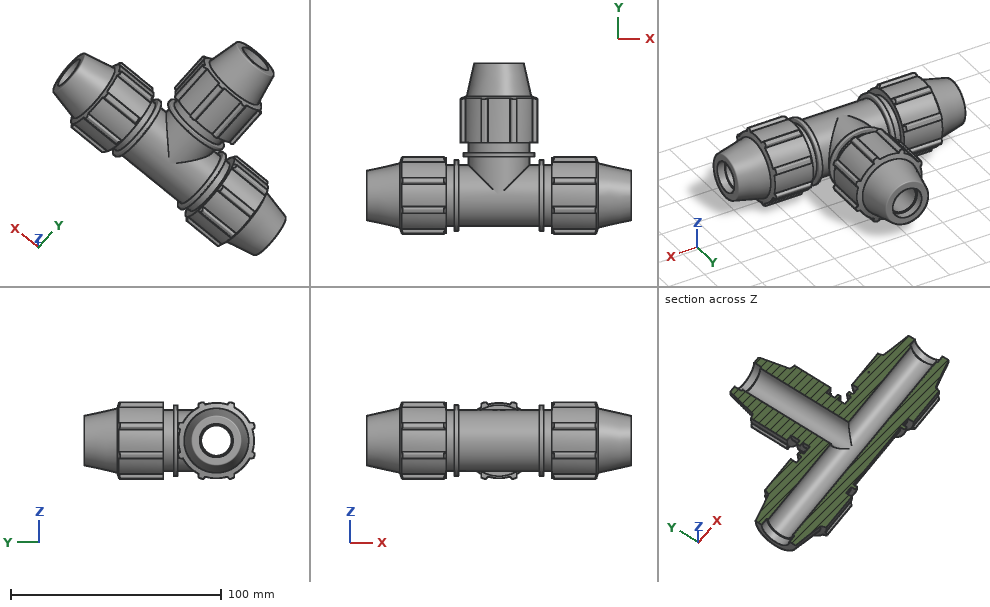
import cadquery as cq
HALF_RUN = 63.0
PIPE_DIAMETER = 29.2
FLANGE_DIAMETER = 33.9
FLANGE_THICKNESS = 2.0
FLANGE_ROUNDING = 0.4
RUN_FLANGE_START = 19.3
BRANCH_FLANGE_START = 18.4

BORE_DIAMETER = 14.4
MOUTH_DIAMETER = 16.0
MOUTH_DEPTH = 4.2

GRIP_START = 25.2
NOSE_LENGTH = 15.8
NOSE_END_RADIUS = 11.8
NOSE_BASE_RADIUS = 15.4
NOSE_ROUNDING = 0.6
GRIP_RADIUS = 18.0
SHOULDER_LENGTH = 1.4

RIB_COUNT = 8
RIB_TOP_RADIUS = 19.5
RIB_TOP_WIDTH = 2.3
RIB_BASE_WIDTH = 3.5
RIB_ROUNDING = 0.6
RIB_EMBEDMENT = 0.6
RIB_END_BEVEL = 1.1

NOSE_BASE = HALF_RUN - NOSE_LENGTH
SHOULDER_END = NOSE_BASE - SHOULDER_LENGTH


def cylinder(diameter, start, end):
    """Solid cylinder along +Z between two heights."""
    return cq.Workplane("XY").workplane(offset=start).circle(diameter / 2).extrude(end - start)


def revolved(points):
    """Solid of revolution about Z from (radius, height) points."""
    return cq.Workplane("XZ").polyline(points).close().revolve(360, (0, 0), (0, 1))


def nose():
    cone = revolved([
        (0, NOSE_BASE),
        (NOSE_BASE_RADIUS, NOSE_BASE),
        (NOSE_END_RADIUS, HALF_RUN),
        (0, HALF_RUN),
    ])
    return cone.faces(">Z").edges().fillet(NOSE_ROUNDING)


def grip_envelope(bevelled_ribs):
    """Outer limit of the grip: sloped shoulder, and an optional bevel on the inner rib ends."""
    points = [
        (0, NOSE_BASE),
        (NOSE_BASE_RADIUS, NOSE_BASE),
        (RIB_TOP_RADIUS, SHOULDER_END),
    ]
    if bevelled_ribs:
        points.append((RIB_TOP_RADIUS, GRIP_START + RIB_END_BEVEL))
        points.append((GRIP_RADIUS, GRIP_START))
    else:
        points.append((RIB_TOP_RADIUS, GRIP_START))
    points.append((0, GRIP_START))
    return revolved(points)


def rib(angle):
    root_radius = GRIP_RADIUS - RIB_EMBEDMENT
    profile = cq.Workplane("XY").workplane(offset=GRIP_START).polyline([
        (root_radius, -RIB_BASE_WIDTH / 2),
        (GRIP_RADIUS, -RIB_BASE_WIDTH / 2),
        (RIB_TOP_RADIUS, -RIB_TOP_WIDTH / 2),
        (RIB_TOP_RADIUS, RIB_TOP_WIDTH / 2),
        (GRIP_RADIUS, RIB_BASE_WIDTH / 2),
        (root_radius, RIB_BASE_WIDTH / 2),
    ]).close()
    bar = profile.extrude(NOSE_BASE - GRIP_START)
    bar = bar.faces(">X").edges("|Z").fillet(RIB_ROUNDING)
    return bar.rotate((0, 0, 0), (0, 0, 1), angle)


def grip(bevelled_ribs):
    pitch = 360 / RIB_COUNT
    body = cylinder(2 * GRIP_RADIUS, GRIP_START, NOSE_BASE)
    for index in range(RIB_COUNT):
        body = body.union(rib((index + 0.5) * pitch))
    return body.intersect(grip_envelope(bevelled_ribs))


def arm(flange_start, bevelled_ribs):
    """One arm of the tee along +Z: pipe, flange and clamping nut."""
    pipe = cylinder(PIPE_DIAMETER, 0, NOSE_BASE)
    flange = cylinder(FLANGE_DIAMETER, flange_start, flange_start + FLANGE_THICKNESS)
    flange = flange.edges().fillet(FLANGE_ROUNDING)
    return pipe.union(flange).union(grip(bevelled_ribs)).union(nose())


def arm_bore():
    """Bore of one arm, stepped out to a wider mouth at the arm end."""
    mouth_base = HALF_RUN - MOUTH_DEPTH
    return revolved([
        (0, 0),
        (BORE_DIAMETER / 2, 0),
        (BORE_DIAMETER / 2, mouth_base),
        (MOUTH_DIAMETER / 2, mouth_base),
        (MOUTH_DIAMETER / 2, HALF_RUN),
        (0, HALF_RUN),
    ])


def along_x(shape, direction):
    """Turn a shape built along +Z to run along +X (direction 1) or -X (direction -1)."""
    return shape.rotate((0, 0, 0), (0, 1, 0), 90 * direction)


def along_y(shape):
    """Turn a shape built along +Z to run along +Y."""
    return shape.rotate((0, 0, 0), (1, 0, 0), -90)


run_arm = arm(RUN_FLANGE_START, bevelled_ribs=True)
branch_arm = arm(BRANCH_FLANGE_START, bevelled_ribs=False)

tee = along_x(run_arm, 1).union(along_x(run_arm, -1)).union(along_y(branch_arm))
passages = along_x(arm_bore(), 1).union(along_x(arm_bore(), -1)).union(along_y(arm_bore()))

result = tee.cut(passages)